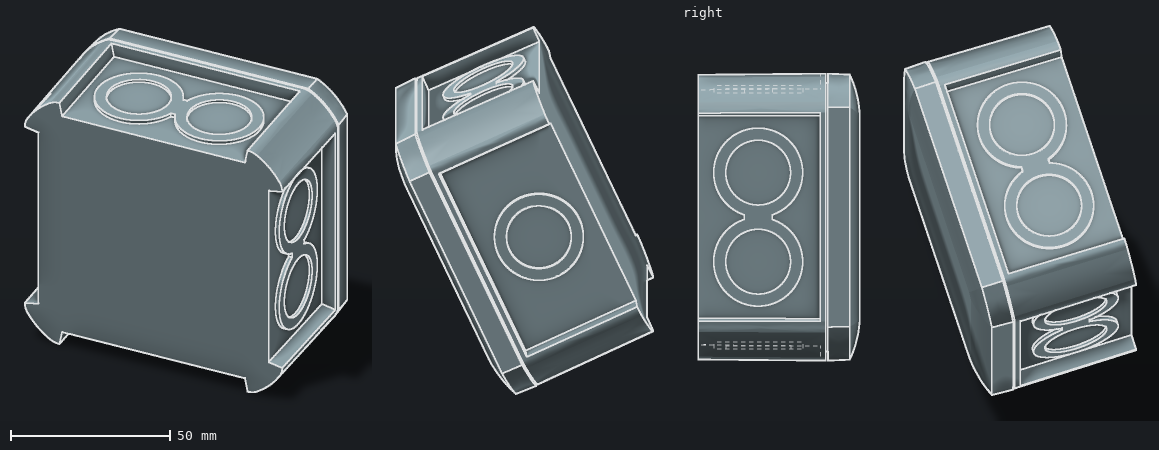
import cadquery as cq
import math


width = 90.3
half = width / 2
corner_setback = 10.6
corner_radius = 25.0
kink = half - corner_setback
corner_half_chord = corner_setback / math.sqrt(2)
corner_sagitta = corner_radius - math.sqrt(corner_radius**2 - corner_half_chord**2)
corner_mid = half - corner_setback / 2 + corner_sagitta / math.sqrt(2)
corner_center = corner_mid - corner_radius / math.sqrt(2)

total_height = 50.79
base_height = 40.15
groove_width = 0.6
lid_bottom = base_height + groove_width
rim_height = 47.65

base_draft = 0.5
kink_fillet = 6.5
groove_depth = 2.9

lid_draft = 2.5
rim_inset = (rim_height - lid_bottom) * math.tan(math.radians(lid_draft))
dome_run = 11.8
dome_drop = total_height - rim_height
dome_bulge = 0.6

recess_top = 38.3
wall_inset_bottom = 5.05
wall_inset_top = wall_inset_bottom - recess_top * math.tan(math.radians(base_draft))
recess_half_mouth = 32.8
recess_flare = 11.0

seal_radius = 14.0
seal_spacing = 2 * seal_radius
seal_level = 18.85
seal_face_inset = 3.7
seal_thickness = 2.3
bridge_half_height = 4.45
membrane_radius = 10.2
membrane_depth = 1.0

clearance = 5.0


def outline():
    """The box outline on the XZ plane, drawn clockwise from the top side (X right, Z up)."""
    mid = corner_mid
    return (
        cq.Workplane("XZ")
        .moveTo(-kink, half)
        .lineTo(kink, half)
        .threePointArc((mid, mid), (half, kink))
        .lineTo(half, -kink)
        .threePointArc((mid, -mid), (kink, -half))
        .lineTo(-kink, -half)
        .threePointArc((-mid, -mid), (-half, -kink))
        .lineTo(-half, kink)
        .threePointArc((-mid, mid), (-kink, half))
        .close()
    )


def at_side(shape, angle):
    """Turn a shape made for the +Z wall about the Y axis."""
    return shape.rotate((0, 0, 0), (0, 1, 0), angle)


def base_top_wire():
    """The outline at the top of the base, with its kinks rounded."""
    prism = outline().extrude(-base_height).edges("|Y").fillet(kink_fillet)
    return prism.faces(">Y").wires().val()


def make_base():
    """Drafted base block with a recess in each of its four walls."""
    base = (
        cq.Workplane("XZ", origin=(0, base_height, 0))
        .add(base_top_wire())
        .toPending()
        .extrude(base_height, taper=base_draft)
    )
    for angle in range(0, 360, 90):
        base = base.cut(at_side(recess_tool(), angle))
    return base


def recess_tool():
    """Flared recess of the +Z wall, open at the base; its floor follows the draft of the base."""
    flare = math.tan(math.radians(recess_flare))

    def section(y, wall_inset):
        mouth = half + clearance
        floor = half - wall_inset
        half_mouth = recess_half_mouth + clearance * flare
        half_floor = recess_half_mouth - wall_inset * flare
        points = [(-half_mouth, mouth), (half_mouth, mouth), (half_floor, floor), (-half_floor, floor)]
        return cq.Wire.makePolygon([cq.Vector(x, y, z) for x, z in points], close=True)

    ends = [section(0, wall_inset_bottom), section(recess_top, wall_inset_top)]
    return cq.Workplane(cq.Solid.makeLoft(ends, True))


def make_groove_core():
    """Neck joining the base and the lid, seen at the bottom of the groove between them."""
    core_wire = base_top_wire().offset2D(-groove_depth)[0]
    return (
        cq.Workplane("XZ", origin=(0, base_height, 0))
        .add(core_wire)
        .toPending()
        .extrude(-groove_width)
    )


def dome_profile(plane, edge):
    """Region above the curved lid border; the rim lies at the given distance from the origin."""
    inner = edge - dome_run
    middle = (edge - dome_run / 2, (rim_height + total_height) / 2 + dome_bulge)
    slope = dome_drop / dome_run
    return (
        cq.Workplane(plane)
        .moveTo(inner, total_height)
        .threePointArc(middle, (edge, rim_height))
        .lineTo(edge + clearance, rim_height - clearance * slope)
        .lineTo(edge + clearance, total_height + clearance)
        .lineTo(inner, total_height + clearance)
        .close()
    )


def make_lid():
    """Drafted lid whose border curves down to the rim along the sides and around the corners."""
    lid = (
        outline()
        .extrude(-(total_height - lid_bottom), taper=lid_draft)
        .translate((0, lid_bottom, 0))
    )
    rim_half = half - rim_inset
    side_tool = dome_profile("XY", rim_half).extrude(half, both=True)
    corner_tool = (
        dome_profile("XY", corner_radius - rim_inset)
        .revolve(90, (0, 0, 0), (0, 1, 0))
        .translate((corner_center, 0, -corner_center))
    )
    for angle in range(0, 360, 90):
        lid = lid.cut(at_side(side_tool, angle)).cut(at_side(corner_tool, angle))
    return lid


def entry_centers(entries):
    """Centres of the entries of a seal, side by side along X."""
    first = -(entries - 1) * seal_spacing / 2
    return [(first + i * seal_spacing, seal_level) for i in range(entries)]


def seal_plate(entries):
    """Outer form of a seal on the +Z wall, also the shape of its pocket in the housing."""
    plane = cq.Workplane("XY", origin=(0, 0, half - seal_face_inset - seal_thickness))
    centers = entry_centers(entries)
    plate = plane.pushPoints(centers[:1]).circle(seal_radius).extrude(seal_thickness)
    for x, y in centers[1:]:
        disc = plane.center(x, y).circle(seal_radius).extrude(seal_thickness)
        bridge = (
            plane.center(x - seal_spacing / 2, y)
            .rect(seal_radius, 2 * bridge_half_height)
            .extrude(seal_thickness)
        )
        plate = plate.union(bridge).union(disc)
    return plate


def make_seal(entries):
    """Seal on the +Z wall, each entry sunk to a thinner membrane."""
    sinks = (
        cq.Workplane("XY", origin=(0, 0, half - seal_face_inset))
        .pushPoints(entry_centers(entries))
        .circle(membrane_radius)
        .extrude(-membrane_depth)
    )
    return seal_plate(entries).cut(sinks)


wall_entries = [(0, 2), (90, 2), (180, 1), (270, 2)]

housing = make_base().union(make_groove_core()).union(make_lid())
seals = []
for angle, entries in wall_entries:
    housing = housing.cut(at_side(seal_plate(entries), angle))
    seals.append(at_side(make_seal(entries), angle).val())

result = cq.Compound.makeCompound([housing.val(), *seals])